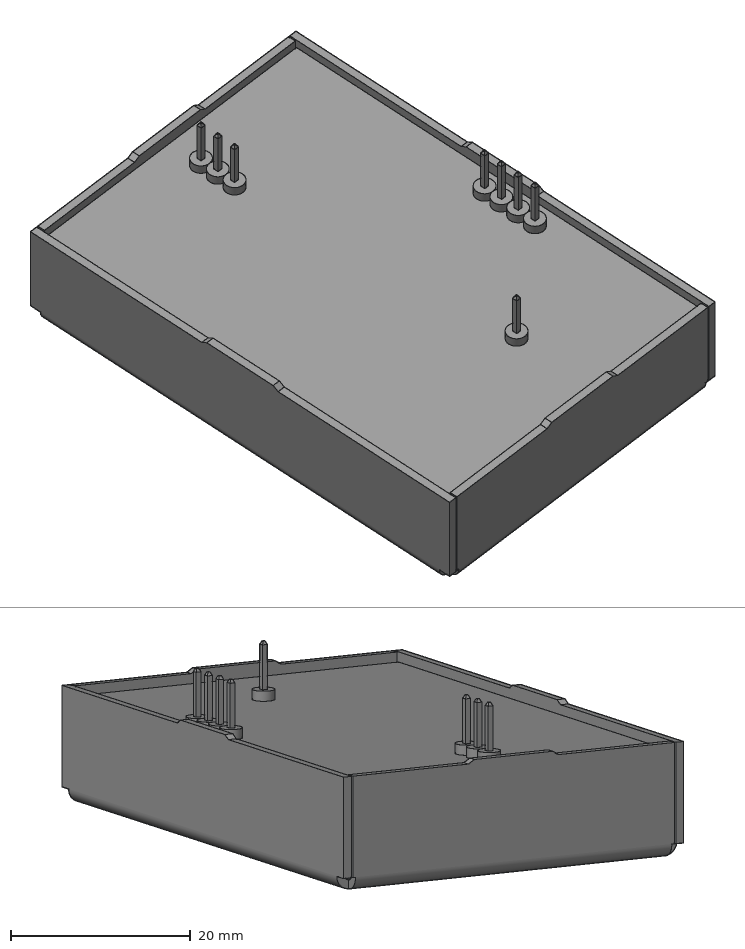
import cadquery as cq

LENGTH = 63.5
WIDTH = 43.5
SHEET = 1.0
INNER_BEND = 0.5
OUTER_BEND = INNER_BEND + SHEET
SLIT = 0.2
RIM_Z = 13.0
TAB_HEIGHT = 0.45
TAB_TOP_Z = RIM_Z + TAB_HEIGHT
TAB_HALF_TOP = 5.0
TAB_HALF_BASE = 5.8

INNER_LENGTH = LENGTH - 2 * SHEET
INNER_WIDTH = WIDTH - 2 * SHEET
POTTING_Z = 11.9

PIN_TOP_Z = 18.5
PIN_SIZE = 0.65
PIN_TIP_SIZE = 0.25
PIN_TIP_HEIGHT = 0.4
COLLAR_DIAMETER = 2.55
COLLAR_HEIGHT = 1.15
PIN_PITCH = COLLAR_DIAMETER
PIN_ROWS = [
    (0.4, 17.9, 4),
    (-25.8, -0.25, 3),
    (18.7, 3.35, 1),
]


def block(length, width, bottom, top):
    """Box centred on the Z axis between two heights."""
    return cq.Workplane("XY", origin=(0, 0, bottom)).rect(length, width).extrude(top - bottom)


def cavity(top):
    """Inside of the folded case, with the inner bend radius along the floor."""
    return block(INNER_LENGTH, INNER_WIDTH, SHEET, top).faces("<Z").edges().fillet(INNER_BEND)


def rim_waste(plane, length):
    """Sheet to remove on both sides of the raised tab, as thick as one wall."""
    end = length / 2
    left = [(-end, RIM_Z), (-TAB_HALF_BASE, RIM_Z), (-TAB_HALF_TOP, TAB_TOP_Z), (-end, TAB_TOP_Z)]
    right = [(-u, z) for u, z in left]
    return (
        cq.Workplane(plane).polyline(left).close().extrude(SHEET / 2, both=True)
        .union(cq.Workplane(plane).polyline(right).close().extrude(SHEET / 2, both=True))
    )


def build_case():
    """Thin tray of folded sheet with bent bottom edges and open corners."""
    case = block(LENGTH, WIDTH, 0, TAB_TOP_Z).faces("<Z").edges().fillet(OUTER_BEND)
    case = case.cut(cavity(TAB_TOP_Z))

    long_waste = rim_waste("XZ", LENGTH)
    short_waste = rim_waste("YZ", INNER_WIDTH)
    for side in (-1, 1):
        case = case.cut(long_waste.translate((0, side * (WIDTH - SHEET) / 2, 0)))
        case = case.cut(short_waste.translate((side * (LENGTH - SHEET) / 2, 0, 0)))

    relief = block(2 * OUTER_BEND, 2 * OUTER_BEND, 0, OUTER_BEND)
    slit = block(SHEET, SLIT, OUTER_BEND, TAB_TOP_Z)
    for x_side in (-1, 1):
        for y_side in (-1, 1):
            case = case.cut(relief.translate((x_side * LENGTH / 2, y_side * WIDTH / 2, 0)))
            slit_x = x_side * (LENGTH - SHEET) / 2
            slit_y = y_side * (INNER_WIDTH - SLIT) / 2
            case = case.cut(slit.translate((slit_x, slit_y, 0)))
    return case


def build_potting():
    """Solid fill of the case up to just below its rim."""
    return cavity(POTTING_Z)


def build_pin(x, y):
    """Square pin with a tapered tip, standing in a round collar on the potting."""
    collar_top = POTTING_Z + COLLAR_HEIGHT
    shoulder_z = PIN_TOP_Z - PIN_TIP_HEIGHT
    collar = (
        cq.Workplane("XY", origin=(0, 0, POTTING_Z))
        .circle(COLLAR_DIAMETER / 2).extrude(COLLAR_HEIGHT)
    )
    shank = block(PIN_SIZE, PIN_SIZE, collar_top, shoulder_z)
    tip = (
        cq.Workplane("XY", origin=(0, 0, shoulder_z)).rect(PIN_SIZE, PIN_SIZE)
        .workplane(offset=PIN_TIP_HEIGHT).rect(PIN_TIP_SIZE, PIN_TIP_SIZE).loft(ruled=True)
    )
    return collar.union(shank).union(tip).translate((x, y, 0))


case = build_case()
potting = build_potting()
pins = []
for first_x, row_y, count in PIN_ROWS:
    for index in range(count):
        pins.append(build_pin(first_x + index * PIN_PITCH, row_y).val())

result = cq.Compound.makeCompound([case.val(), potting.val(), *pins])